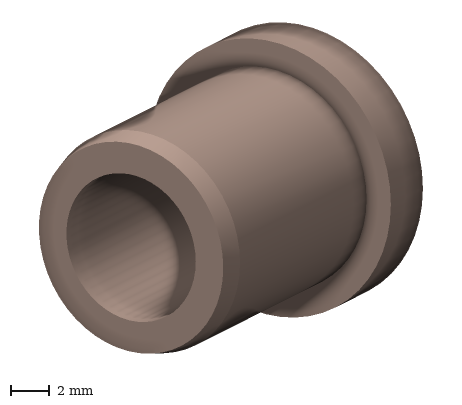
import cadquery as cq
import math

total_length = 16.0
flange_diameter = 15.0
flange_thickness = 3.0
body_diameter = 12.0
bore_diameter = 8.0
lead_in_length = 1.12
lead_in_angle = 15.0

bore_radius = bore_diameter / 2
body_radius = body_diameter / 2
flange_radius = flange_diameter / 2
tip_radius = body_radius - lead_in_length * math.tan(math.radians(lead_in_angle))

tip_y = -total_length / 2
flange_end_y = total_length / 2
shoulder_y = flange_end_y - flange_thickness

half_section = (
    cq.Workplane("XY")
    .moveTo(bore_radius, tip_y)
    .lineTo(tip_radius, tip_y)
    .lineTo(body_radius, tip_y + lead_in_length)
    .lineTo(body_radius, shoulder_y)
    .lineTo(flange_radius, shoulder_y)
    .lineTo(flange_radius, flange_end_y)
    .lineTo(bore_radius, flange_end_y)
    .close()
)

result = half_section.revolve(360, (0, 0, 0), (0, 1, 0))